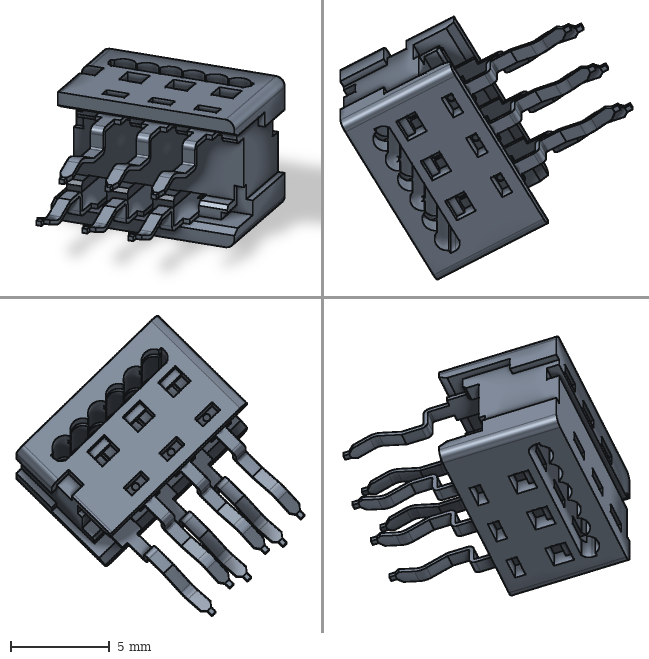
import cadquery as cq


housing_width = 10.13
housing_height = 7.0
housing_depth = 6.4
core_width = 9.4
core_front = 2.03
plate_thickness = 0.97
edge_radius = 0.5
lip_chamfer_depth = 0.45
lip_chamfer_height = 0.25
wing_front = 3.87
wing_height = 0.8
half_width = housing_width / 2
half_core = core_width / 2
half_height = housing_height / 2
plate_inner = half_height - plate_thickness
wing_edge = plate_inner - wing_height

rib_front = 1.145
rib_chamfer_depth = 0.17
rib_chamfer_height = 0.23

groove_depth = 0.68
groove_bottom = 0.46
groove_top = 1.35

recess_floor = 2.36
recess_width = 0.53
step_width = 0.85
step_height = 0.4
upper_recess_end = 0.82
lower_recess_end = -0.95

corner_notch_front = 2.78
corner_notch_width = 0.85

wire_pitch = 1.27
wire_count = 6
wire_radius = 0.65
wire_center_y = 4.79
opening_width = 7.9
opening_front = 4.32
opening_back = 5.04
opening_corner_radius = 0.46

row_pitch = 2 * wire_pitch
upper_row_x = [-1.5 * wire_pitch + row_pitch * i for i in range(wire_count // 2)]
passage_width = 1.4
passage_bottom = 1.69
window_width = 1.22
rear_window_front = 2.78
rear_window_back = wing_front
ledge_front = 3.43
ledge_depth = 0.51
front_window_front = 0.66
front_window_back = 1.23

sheet = 0.25
blade_front = -0.04
blade_back = 4.0
slit_width = 0.16
dimple_diameter = 0.38
dimple_depth = 0.1
dimple_y = 1.0
pin_width = 0.7
riser_front = -1.46
foot_top = 1.37
ramp_start = -2.64
apex_y = -4.12
apex_rise = 0.55
tip_start = -5.58
overall_depth = 12.3
tip_end = housing_depth - overall_depth
tip_width = 0.28
taper_start = -5.31
inner_bend_radius = 0.1
outer_bend_radius = inner_bend_radius + sheet
inner_apex_radius = 0.7
outer_apex_radius = inner_apex_radius + sheet


def block(x0, x1, y0, y1, z0, z1):
    return cq.Workplane("XY").box(x1 - x0, y1 - y0, z1 - z0, centered=False).translate((x0, y0, z0))


def turn(shape):
    """Half a turn about the Y axis, from the upper row to the lower one."""
    return shape.rotate((0, 0, 0), (0, 1, 0), 180)


def both_rows(shape):
    return shape.union(turn(shape))


def plate():
    """Upper cover plate with rounded long edges and a bevelled lip."""
    slab = block(-half_width, half_width, 0, housing_depth, wing_edge, half_height)
    slab = slab.edges("|Y and >Z").fillet(edge_radius)
    slab = slab.cut(block(-half_core, half_core, 0, housing_depth, wing_edge, plate_inner))
    slab = slab.cut(block(-half_width, half_width, 0, wing_front, wing_edge, plate_inner))
    bevel = (
        cq.Workplane("YZ")
        .polyline(
            [
                (0, plate_inner),
                (lip_chamfer_depth, plate_inner),
                (0, plate_inner + lip_chamfer_height),
            ]
        )
        .close()
        .extrude(half_width, both=True)
    )
    return slab.cut(bevel)


def rib():
    bar = block(-half_core, half_core, rib_front, core_front, wing_edge, plate_inner)
    return bar.edges("|X and <Y and <Z").chamfer(rib_chamfer_height, rib_chamfer_depth)


def corner_recess(recess_end):
    """Stepped recess at the upper -X corner, running down to recess_end."""
    side = block(-half_width, recess_width - half_core, 0, recess_floor, recess_end, plate_inner)
    step_bottom = plate_inner - step_height
    step = block(-half_width, step_width - half_core, 0, recess_floor, step_bottom, plate_inner)
    return side.union(step)


def recess_wing():
    """Stretch of the lower +X wing that comes forward to the recess floor."""
    return block(half_core, half_width, recess_floor, wing_front, -plate_inner, -wing_edge)


def upper_side_cut():
    """Clears the -X overhang of the upper plate and its square corner notch."""
    overhang = block(-half_width, -half_core, 0, wing_front, plate_inner, half_height)
    notch_edge = corner_notch_width - half_core
    notch = block(-half_core, notch_edge, corner_notch_front, wing_front, plate_inner, half_height)
    return overhang.union(notch)


def wire_opening():
    slot_depth = opening_back - opening_front
    opening = (
        cq.Workplane("XY")
        .center(0, opening_front + slot_depth / 2)
        .rect(opening_width, slot_depth)
        .extrude(half_height, both=True)
        .edges("|Z and <Y")
        .fillet(opening_corner_radius)
    )
    first_x = -wire_pitch * (wire_count - 1) / 2
    front_part = block(-half_width, half_width, 0, opening_front, -half_height, half_height)
    for i in range(wire_count):
        bore = (
            cq.Workplane("XY")
            .center(first_x + wire_pitch * i, wire_center_y)
            .circle(wire_radius)
            .extrude(half_height, both=True)
        )
        opening = opening.union(bore.cut(front_part))
    return opening


def passage(x):
    """Passage and blade seat for one upper contact, with its two plate windows."""
    half_passage = passage_width / 2
    half_window = window_width / 2
    left, right = x - half_window, x + half_window
    ledge_z = half_height - ledge_depth
    seat_bottom = plate_inner - sheet
    tunnel = block(x - half_passage, x + half_passage, 0, housing_depth, passage_bottom, seat_bottom)
    seat = block(x - half_passage, x + half_passage, 0, blade_back, seat_bottom, plate_inner)
    rear = block(left, right, rear_window_front, ledge_front, plate_inner, half_height)
    ledge = block(left, right, ledge_front, rear_window_back, ledge_z, half_height)
    front = block(left, right, front_window_front, front_window_back, plate_inner, half_height)
    return tunnel.union(seat).union(rear).union(ledge).union(front)


def pin_profile():
    """Side profile of a pin: step down from the blade, foot, arched spring and tip."""
    foot_bottom = foot_top - sheet
    apex_top = foot_top + apex_rise
    riser_back = riser_front + sheet
    blade_bottom = plate_inner - sheet
    profile = (
        cq.Workplane("YZ")
        .polyline(
            [
                (blade_front, plate_inner),
                (riser_front, plate_inner),
                (riser_front, foot_top),
                (ramp_start, foot_top),
                (apex_y, apex_top),
                (tip_start, foot_top),
                (tip_end, foot_top),
                (tip_end, foot_bottom),
                (tip_start, foot_bottom),
                (apex_y, apex_top - sheet),
                (ramp_start, foot_bottom),
                (riser_back, foot_bottom),
                (riser_back, blade_bottom),
                (blade_front, blade_bottom),
            ]
        )
        .close()
        .extrude(pin_width / 2, both=True)
    )
    bends = [
        (riser_front, plate_inner, outer_bend_radius),
        (riser_back, blade_bottom, inner_bend_radius),
        (riser_back, foot_bottom, outer_bend_radius),
        (riser_front, foot_top, inner_bend_radius),
        (apex_y, apex_top, outer_apex_radius),
        (apex_y, apex_top - sheet, inner_apex_radius),
    ]
    for y, z, radius in bends:
        profile = profile.edges("|X").edges(cq.selectors.NearestToPointSelector((0, y, z))).fillet(radius)
    return profile


def pin():
    """Pin narrowed to a small tip at its free end."""
    half_pin = pin_width / 2
    half_tip = tip_width / 2
    plan = (
        cq.Workplane("XY")
        .polyline(
            [
                (-half_pin, blade_front),
                (half_pin, blade_front),
                (half_pin, taper_start),
                (half_tip, tip_start),
                (half_tip, tip_end),
                (-half_tip, tip_end),
                (-half_tip, tip_start),
                (-half_pin, taper_start),
            ]
        )
        .close()
        .extrude(half_height)
    )
    return pin_profile().intersect(plan)


def contact():
    """Flat blade with a slit and a dimple, continued by the pin."""
    half_blade = passage_width / 2
    half_slit = slit_width / 2
    blade_bottom = plate_inner - sheet
    blade = block(-half_blade, half_blade, blade_front, blade_back, blade_bottom, plate_inner)
    slit = block(-half_slit, half_slit, rear_window_front, ledge_front, blade_bottom, plate_inner)
    dimple = (
        cq.Workplane("XY", origin=(0, dimple_y, plate_inner - dimple_depth))
        .circle(dimple_diameter / 2)
        .extrude(dimple_depth)
    )
    return blade.cut(slit).cut(dimple).union(pin())


def housing():
    core = block(-half_core, half_core, core_front, housing_depth, -plate_inner, plate_inner)
    upper_plate = plate().cut(upper_side_cut())
    body = core.union(upper_plate).union(turn(plate())).union(both_rows(rib()))
    body = body.cut(corner_recess(upper_recess_end))
    body = body.cut(turn(corner_recess(-lower_recess_end)))
    body = body.union(recess_wing())
    groove_front = housing_depth - groove_depth
    body = body.cut(
        block(-half_width, half_width, groove_front, housing_depth, groove_bottom, groove_top)
    )
    body = body.cut(wire_opening())
    for x in upper_row_x:
        body = body.cut(both_rows(passage(x)))
    return body


result = housing()
for contact_x in upper_row_x:
    result = result.union(both_rows(contact().translate((contact_x, 0, 0))))